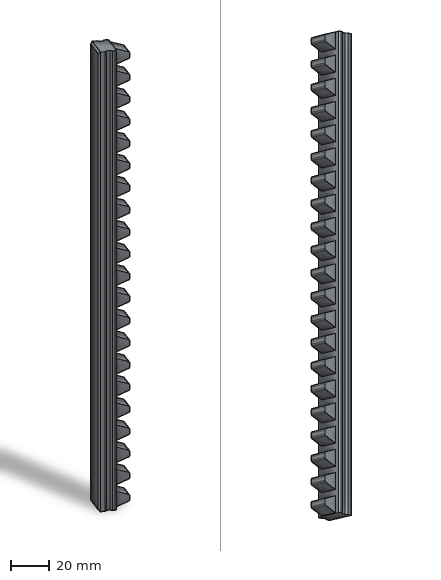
import cadquery as cq
import math

body_width = 16.0
total_depth = 18.0
length = 261

tooth_count = 21
tooth_width = 10.0
first_tooth_z = 5.0
teeth_span = 251.3
tooth_pitch = teeth_span / (tooth_count - 1)
module = tooth_pitch / math.pi
tooth_height = 2 * module
pressure_angle = math.radians(20)
tip_radius = 1.0

body_depth = total_depth - tooth_height
back_chamfer = 1.0
front_chamfer_x = 0.5
front_chamfer_y = 1.0

groove_depth = 1.0
groove_mouth = 4.0
back_land = 3.7
groove_center_y = back_land + groove_mouth / 2


def make_body():
    """Straight bar with all back edges and the two long front edges chamfered."""
    half_width = body_width / 2
    right_side = [
        (half_width, 0),
        (half_width, body_depth - front_chamfer_y),
        (half_width - front_chamfer_x, body_depth),
    ]
    left_side = [(-x, y) for x, y in reversed(right_side)]
    bar = cq.Workplane("XY").polyline(right_side + left_side).close().extrude(length)
    return bar.faces("<Y").edges().chamfer(back_chamfer)


def make_groove(side):
    """Cutter for the groove on the +X (side = 1) or -X (side = -1) face."""
    mouth_x = side * body_width / 2
    floor_x = mouth_x - side * groove_depth
    half_mouth = groove_mouth / 2
    half_floor = half_mouth - groove_depth
    outline = [
        (mouth_x, groove_center_y - half_mouth),
        (floor_x, groove_center_y - half_floor),
        (floor_x, groove_center_y + half_floor),
        (mouth_x, groove_center_y + half_mouth),
    ]
    return cq.Workplane("XY").polyline(outline).close().extrude(length)


def make_tooth():
    """Straight-sided tooth centred on Z = 0, with rounded tip corners."""
    pitch_line_half = tooth_pitch / 4
    flank_run = module * math.tan(pressure_angle)
    root_half = pitch_line_half + flank_run
    tip_half = pitch_line_half - flank_run
    outline = [
        (body_depth, -root_half),
        (total_depth, -tip_half),
        (total_depth, tip_half),
        (body_depth, root_half),
    ]
    tooth = cq.Workplane("YZ").polyline(outline).close().extrude(tooth_width / 2, both=True)
    return tooth.faces(">Y").edges("|X").fillet(tip_radius)


result = make_body()
for side in (-1, 1):
    result = result.cut(make_groove(side))

tooth = make_tooth()
for index in range(tooth_count):
    result = result.union(tooth.translate((0, 0, first_tooth_z + index * tooth_pitch)))